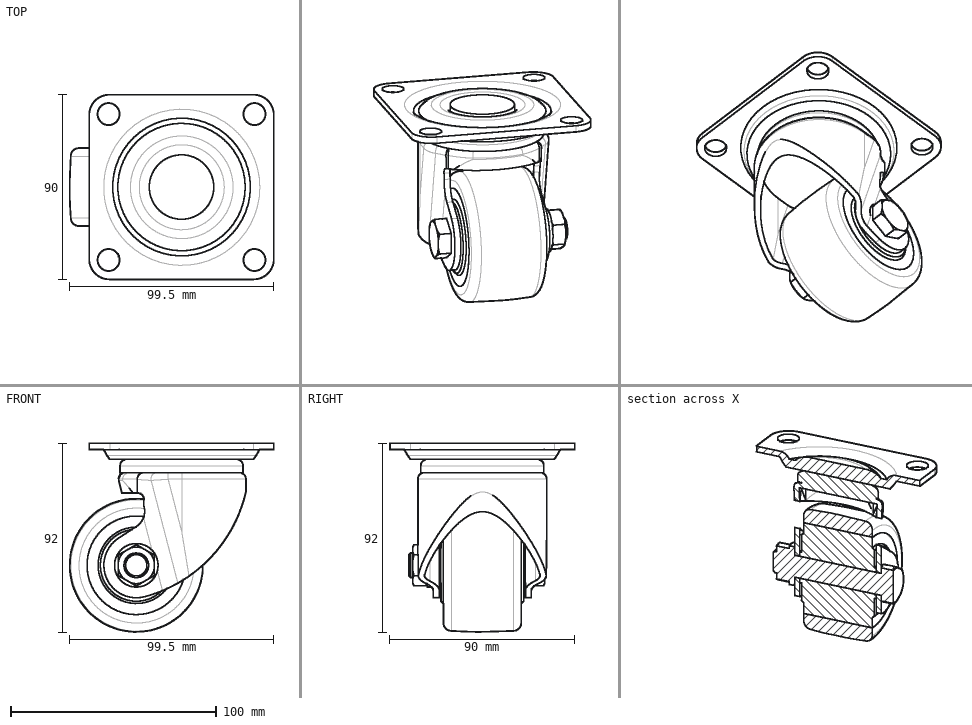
import cadquery as cq
import math

plate_size = 90.0
plate_thickness = 3.2
plate_corner_radius = 10.0
bolt_hole_diameter = 10.6
bolt_hole_spacing = 71.0
dish_rim_radius = 38.0
dish_waist_radius = 36.5
dish_waist_z = -5.9
dish_bottom_radius = 35.0
dish_bottom_z = -8.0
groove_depth = 3.2
groove_outer_radius = 33.5
groove_inner_radius = 31.0
crown_radius = 25.0
dip_radius = 20.7
dip_depth = 5.0
pivot_radius = 15.7

sheet = 3.0
race_radius = 30.0
race_edge_radius = 3.0
fork_top_z = -14.5
fork_radius = 31.4
cheek_inner_y = 20.9
cheek_outer_y = cheek_inner_y + sheet
apron_bottom_z = -24.4
apron_face_radius = 42.0
apron_face_x = -30.7
side_front_x = -21.5
apron_lean_z = -18.1
bend_lean = 0.26
bend_middle_x = -19.6
bend_angle = 48.0
boss_radius = 15.8
boss_rear_angle = -75.0
boss_front_angle = 126.0
rear_edge_top_z = -23.7
rear_edge_middle = (10.2, -59.6)
notch_start = (-22.6, -41.0)
notch_middle = (-18.4, -36.0)
notch_end = (-18.3, -30.6)
notch_fillet = 3.0

axle_x = -22.0
axle_z = -59.5
wheel_radius = 32.5
wheel_width = 38.0
tread_corner = 4.0
tread_crown = 0.5
core_radius = 24.0
hub_radius = 18.6
hub_chamfer = 1.1
hub_half_width = 20.2
spacer_radius = 8.5

axle_radius = 6.0
axle_end_y = -35.7
axle_end_chamfer = 0.8
hex_across_flats = 17.4
hex_chamfer_radius = 8.9
hex_chamfer_height = 0.7
head_height = 6.5
washer_radius = 10.6
washer_thickness = 3.0
nut_height = 7.0

reach = 80.0


def shoulder_middle(top_radius, bottom_radius, depth):
    """Middle of an arc that leaves z = 0 level at top_radius and falls to the depth."""
    run = bottom_radius - top_radius
    half_turn = math.atan(depth / abs(run))
    arc_radius = (run**2 + depth**2) / (2 * depth)
    side_step = math.copysign(arc_radius * math.sin(half_turn), run)
    return (top_radius + side_step, -arc_radius * (1 - math.cos(half_turn)))


def make_plate():
    sheet_body = (
        cq.Workplane("XY")
        .rect(plate_size, plate_size)
        .extrude(-plate_thickness)
        .edges("|Z")
        .fillet(plate_corner_radius)
    )
    dish = (
        cq.Workplane("XZ")
        .lineTo(dish_rim_radius, 0)
        .lineTo(dish_rim_radius, -plate_thickness)
        .lineTo(dish_waist_radius, dish_waist_z)
        .lineTo(dish_bottom_radius, dish_bottom_z)
        .lineTo(0, dish_bottom_z)
        .close()
        .revolve(360, (0, 0), (0, 1))
    )
    groove = (
        cq.Workplane("XZ")
        .moveTo(dish_rim_radius, 0)
        .threePointArc(
            shoulder_middle(dish_rim_radius, groove_outer_radius, groove_depth),
            (groove_outer_radius, -groove_depth),
        )
        .lineTo(groove_inner_radius, -groove_depth)
        .threePointArc(
            shoulder_middle(crown_radius, groove_inner_radius, groove_depth),
            (crown_radius, 0),
        )
        .close()
        .revolve(360, (0, 0), (0, 1))
    )
    dip = (
        cq.Workplane("XZ")
        .moveTo(dip_radius, 0)
        .threePointArc(
            shoulder_middle(dip_radius, pivot_radius, dip_depth),
            (pivot_radius, -dip_depth),
        )
        .lineTo(pivot_radius, 0)
        .close()
        .revolve(360, (0, 0), (0, 1))
    )
    bolt_holes = (
        cq.Workplane("XY")
        .rect(bolt_hole_spacing, bolt_hole_spacing, forConstruction=True)
        .vertices()
        .circle(bolt_hole_diameter / 2)
        .extrude(-plate_thickness)
    )
    return sheet_body.union(dish).cut(groove).cut(dip).cut(bolt_holes)


def leaning_prism(profile):
    """Extrude a closed profile downward from its plane along the lean of the fork front."""
    direction = cq.Vector(bend_lean * reach, 0, -reach)
    return cq.Workplane(cq.Solid.extrudeLinear(profile.val(), [], direction))


def bend_prism(top_z, inset):
    """Space between the two side walls: parallel cheeks in front, S-bends, wide rear."""
    angle = math.radians(bend_angle)
    rise = fork_radius - cheek_outer_y
    radius = rise / (2 * (1 - math.cos(angle)))
    half_run = radius * math.sin(angle)
    middle_x = bend_middle_x - bend_lean * top_z
    front_center = (middle_x - half_run, cheek_outer_y + radius)
    rear_center = (middle_x + half_run, fork_radius - radius)
    front_radius = radius + inset
    rear_radius = radius - inset

    def front_point(turn):
        return (
            front_center[0] + front_radius * math.sin(turn),
            front_center[1] - front_radius * math.cos(turn),
        )

    def rear_point(turn):
        return (
            rear_center[0] - rear_radius * math.sin(turn),
            rear_center[1] + rear_radius * math.cos(turn),
        )

    profile = (
        cq.Workplane("XY", (0, 0, top_z))
        .moveTo(-reach, 0)
        .lineTo(-reach, cheek_outer_y - inset)
        .lineTo(*front_point(0))
        .threePointArc(front_point(angle / 2), front_point(angle))
        .threePointArc(rear_point(angle / 2), rear_point(0))
        .lineTo(reach, fork_radius - inset)
        .lineTo(reach, 0)
        .mirrorX()
    )
    return leaning_prism(profile)


def fork_space(top_z, inset, rounding):
    """Volume bounded by the fork walls moved inward by the inset, open towards the bottom."""

    def round_top(body, side=None):
        if rounding == 0:
            return body
        return body.faces(">Z").edges(side).fillet(rounding)

    shell = cq.Workplane("XY", (0, 0, top_z)).circle(fork_radius - inset).extrude(-reach)
    sides = (
        cq.Workplane("XY", (0, 0, top_z))
        .center(side_front_x / 2, 0)
        .rect(-side_front_x, 2 * fork_radius)
        .extrude(-reach)
    )
    apron_plan = (
        cq.Workplane("XY", (0, 0, apron_lean_z))
        .center(apron_face_x + apron_face_radius, 0)
        .circle(apron_face_radius - inset)
    )
    upright_apron = apron_plan.extrude(top_z - apron_lean_z)
    apron_face = round_top(upright_apron).union(leaning_prism(apron_plan.wires()))
    below_apron = (
        cq.Workplane("XY", (-reach / 2, 0, apron_bottom_z)).rect(reach, reach).extrude(-reach)
    )
    space = round_top(shell).union(round_top(sides, "<X")).intersect(apron_face)
    return space.union(below_apron).intersect(round_top(bend_prism(top_z, inset)))


def boss_point(angle):
    turn = math.radians(angle)
    return (axle_x + boss_radius * math.cos(turn), axle_z + boss_radius * math.sin(turn))


def side_outline():
    """Outline of the fork seen from the side, extruded across the full width."""
    fillet_center = (notch_end[0] - notch_fillet, apron_bottom_z - notch_fillet)
    diagonal = notch_fillet * math.sqrt(0.5)
    return (
        cq.Workplane("XZ")
        .moveTo(-reach, fork_top_z)
        .lineTo(fork_radius, fork_top_z)
        .lineTo(fork_radius, rear_edge_top_z)
        .threePointArc(rear_edge_middle, boss_point(boss_rear_angle))
        .threePointArc(boss_point(180), boss_point(boss_front_angle))
        .lineTo(*notch_start)
        .threePointArc(notch_middle, notch_end)
        .lineTo(notch_end[0], fillet_center[1])
        .threePointArc(
            (fillet_center[0] + diagonal, fillet_center[1] + diagonal),
            (fillet_center[0], apron_bottom_z),
        )
        .lineTo(-reach, apron_bottom_z)
        .close()
        .extrude(reach, both=True)
    )


def make_fork():
    outside = fork_space(fork_top_z, 0, sheet).intersect(side_outline())
    cavity = fork_space(fork_top_z - sheet, sheet, 0)
    race = (
        cq.Workplane("XY", (0, 0, fork_top_z - sheet))
        .circle(fork_radius - sheet)
        .extrude(sheet)
        .faces(">Z")
        .workplane()
        .circle(race_radius)
        .extrude(dish_bottom_z - fork_top_z)
        .faces(">Z")
        .edges()
        .fillet(race_edge_radius)
    )
    axle_hole = (
        cq.Workplane("XZ")
        .center(axle_x, axle_z)
        .circle(axle_radius)
        .extrude(cheek_outer_y, both=True)
    )
    fork_body = outside.cut(cavity).union(race).cut(axle_hole)
    for seat_y in (cheek_outer_y + head_height, -cheek_outer_y):
        seat = (
            cq.Workplane("XZ", (axle_x, seat_y, axle_z)).circle(washer_radius).extrude(head_height)
        )
        fork_body = fork_body.cut(seat)
    return fork_body


def place_on_axle(body):
    """Move a body built around the Y axis to the axle."""
    return body.translate((axle_x, 0, axle_z))


def make_tread():
    half_width = wheel_width / 2
    shoulder_y = half_width - tread_corner
    shoulder_radius = wheel_radius - tread_crown
    side_radius = shoulder_radius - tread_corner
    diagonal = tread_corner * math.sqrt(0.5)
    profile = (
        cq.Workplane("XY")
        .moveTo(core_radius, -half_width)
        .lineTo(side_radius, -half_width)
        .threePointArc(
            (side_radius + diagonal, -shoulder_y - diagonal), (shoulder_radius, -shoulder_y)
        )
        .threePointArc((wheel_radius, 0), (shoulder_radius, shoulder_y))
        .threePointArc(
            (side_radius + diagonal, shoulder_y + diagonal), (side_radius, half_width)
        )
        .lineTo(core_radius, half_width)
        .close()
    )
    return place_on_axle(profile.revolve(360, (0, 0), (0, 1)))


def make_core():
    half_width = wheel_width / 2
    half_profile = (
        cq.Workplane("XY")
        .moveTo(axle_radius, 0)
        .lineTo(core_radius, 0)
        .lineTo(core_radius, half_width)
        .lineTo(hub_radius, half_width)
        .lineTo(hub_radius - hub_chamfer, hub_half_width)
        .lineTo(spacer_radius, hub_half_width)
        .lineTo(spacer_radius, cheek_inner_y)
        .lineTo(axle_radius, cheek_inner_y)
        .close()
    )
    half = half_profile.revolve(360, (0, 0), (0, 1))
    return place_on_axle(half.union(half.mirror("XZ")))


def hexagon(start_y, height, chamfer_both):
    """Hexagon along -Y from start_y with points up and down and turned-off corners."""
    across_corners = hex_across_flats / math.cos(math.pi / 6)
    corner_cut = across_corners / 2 - hex_chamfer_radius
    prism = (
        cq.Workplane("XZ", (0, start_y, 0))
        .transformed(rotate=(0, 0, 90))
        .polygon(6, across_corners)
        .extrude(height)
    )
    turned = cq.Workplane("XZ", (0, start_y, 0)).circle(across_corners / 2).extrude(height)
    ends = "|Y" if chamfer_both else ">Y"
    turned = turned.faces(ends).edges().chamfer(hex_chamfer_height, corner_cut)
    return prism.intersect(turned)


def make_axle():
    head_end = cheek_outer_y + head_height
    shank = (
        cq.Workplane("XZ", (0, cheek_outer_y, 0))
        .circle(axle_radius)
        .extrude(cheek_outer_y - axle_end_y)
        .faces("<Y")
        .chamfer(axle_end_chamfer)
    )
    head = hexagon(head_end, head_height, False)
    washer = (
        cq.Workplane("XZ", (0, -cheek_outer_y, 0)).circle(washer_radius).extrude(washer_thickness)
    )
    nut = hexagon(-cheek_outer_y - washer_thickness, nut_height, True)
    return place_on_axle(shank.union(head).union(washer).union(nut))


plate = make_plate()
fork = make_fork()
tread = make_tread()
core = make_core()
axle = make_axle()

result = cq.Compound.makeCompound(
    [plate.val(), fork.val(), tread.val(), core.val(), axle.val()]
)